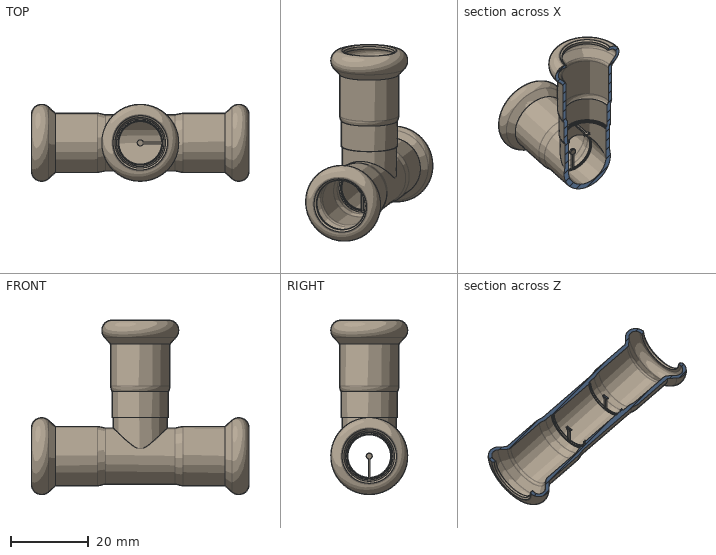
import cadquery as cq
import math

run_half_length = 28.0
branch_length = 35.0
wall = 1.0

socket_bore_radius = 13.0 / 2
socket_radius = 15.3 / 2
socket_depth = 17.0
body_radius = 14.5 / 2
neck_bore_radius = 12.2 / 2
core_bore_radius = 11.5 / 2
stub_radius = 14.0 / 2
stub_height = 9.9

bead_outer_radius = 19.8 / 2
bead_ring_radius = 14.5 / 2
bead_section_radius = bead_outer_radius - bead_ring_radius
groove_section_radius = bead_section_radius - wall
cone_angle = math.radians(42)
groove_round = 1.25
mouth_radius = 14.0 / 2
mouth_chamfer_depth = 0.35

branch_taper_length = 1.35
run_taper_length = 2.0

gauge_radius = 11.4 / 2
gauge_opening_radius = 11.0 / 2
gauge_disc_radius = 0.8
gauge_arm_width = 0.5
gauge_thickness = 0.5

run_shoulder = stub_radius


def section_point(section_radius, angle, mouth):
    """Point (radius, height) on the bead's round section; angle 0 is radially outward, positive to the back."""
    radius = bead_ring_radius + section_radius * math.cos(angle)
    height = mouth - bead_section_radius - section_radius * math.sin(angle)
    return radius, height


def cone_end_height(start, end_radius):
    """Height where the bead's back cone from start reaches end_radius."""
    return start[1] - (start[0] - end_radius) / math.tan(cone_angle)


def add_taper(outline, start_radius, end_radius, start, length, smooth):
    """Narrow the outline, tangent to the socket, and to the tube too if smooth."""
    if smooth:
        return outline.spline(
            [(end_radius, start - length)], tangents=[(0, -1), (0, -1)], includeCurrent=True
        )
    drop = start_radius - end_radius
    arc_radius = (length**2 + drop**2) / (2 * drop)
    half_length = length / 2
    half_drop = arc_radius - math.sqrt(arc_radius**2 - half_length**2)
    return outline.threePointArc(
        (start_radius - half_drop, start - half_length), (end_radius, start - length)
    )


def revolve_outline(outline):
    return outline.close().revolve(360, (0, 0, 0), (0, 1, 0))


def port_outside(mouth, base, taper_length, smooth):
    """Solid envelope of one port along +Z, from base to mouth."""
    cone_start = section_point(bead_section_radius, cone_angle, mouth)
    outline = (
        cq.Workplane("XZ")
        .moveTo(0, mouth)
        .lineTo(bead_ring_radius, mouth)
        .threePointArc(section_point(bead_section_radius, 0, mouth), cone_start)
        .lineTo(socket_radius, cone_end_height(cone_start, socket_radius))
        .lineTo(socket_radius, mouth - socket_depth)
    )
    outline = add_taper(outline, socket_radius, body_radius, mouth - socket_depth, taper_length, smooth)
    return revolve_outline(outline.lineTo(body_radius, base).lineTo(0, base))


def port_cavity(mouth, shoulder, taper_length, smooth):
    """Bore of one port along +Z: mouth, seal groove, socket, stop shoulder and core passage."""
    groove_front = mouth - wall
    cone_start = section_point(groove_section_radius, cone_angle, mouth)
    corner = cone_end_height(cone_start, socket_bore_radius)
    tangent_length = groove_round * math.tan(cone_angle / 2)
    round_start = (
        socket_bore_radius + tangent_length * math.sin(cone_angle),
        corner + tangent_length * math.cos(cone_angle),
    )
    round_middle = (
        socket_bore_radius + groove_round * (1 - math.cos(cone_angle / 2)),
        corner - tangent_length + groove_round * math.sin(cone_angle / 2),
    )
    outline = (
        cq.Workplane("XZ")
        .moveTo(0, mouth)
        .lineTo(mouth_radius, mouth)
        .lineTo(socket_bore_radius, mouth - mouth_chamfer_depth)
        .lineTo(socket_bore_radius, groove_front)
        .lineTo(bead_ring_radius, groove_front)
        .threePointArc(section_point(groove_section_radius, 0, mouth), cone_start)
        .lineTo(*round_start)
        .threePointArc(round_middle, (socket_bore_radius, corner - tangent_length))
        .lineTo(socket_bore_radius, mouth - socket_depth)
    )
    outline = add_taper(
        outline, socket_bore_radius, neck_bore_radius, mouth - socket_depth, taper_length, smooth
    )
    outline = (
        outline.lineTo(neck_bore_radius, shoulder)
        .lineTo(core_bore_radius, shoulder)
        .lineTo(core_bore_radius, 0)
        .lineTo(0, 0)
    )
    return revolve_outline(outline)


def toward_right(shape):
    """Turn a shape built along +Z to lie along +X."""
    return shape.rotate((0, 0, 0), (0, 1, 0), 90)


def toward_left(shape):
    """Turn a shape built along +Z to lie along -X."""
    return toward_right(shape).rotate((0, 0, 0), (0, 0, 1), 180)


def make_tee():
    run_outside = port_outside(run_half_length, 0, run_taper_length, True)
    run_cavity = port_cavity(run_half_length, run_shoulder, run_taper_length, True)
    stub = cq.Workplane("XY").circle(stub_radius).extrude(stub_height)
    tee = toward_right(run_outside).union(toward_left(run_outside)).union(stub)
    tee = tee.union(port_outside(branch_length, stub_height, branch_taper_length, False))
    tee = tee.cut(toward_right(run_cavity)).cut(toward_left(run_cavity))
    return tee.cut(port_cavity(branch_length, stub_height, branch_taper_length, False))


def make_gauge(shoulder):
    """Gauge across +Z, its front face level with the stop shoulder, its arm toward +X."""
    base = cq.Workplane("XY").workplane(offset=shoulder - gauge_thickness)
    ring = base.circle(gauge_radius).circle(gauge_opening_radius).extrude(gauge_thickness)
    arm_length = (gauge_opening_radius + gauge_radius) / 2
    arm = base.center(arm_length / 2, 0).rect(arm_length, gauge_arm_width).extrude(gauge_thickness)
    disc = base.circle(gauge_disc_radius).extrude(gauge_thickness)
    return ring.union(arm).union(disc)


tee = make_tee()
gauges = [make_gauge(stub_height)]
for turn in (toward_right, toward_left):
    gauges.append(turn(make_gauge(run_shoulder)))

result = cq.Compound.makeCompound([tee.val(), *[gauge.val() for gauge in gauges]])